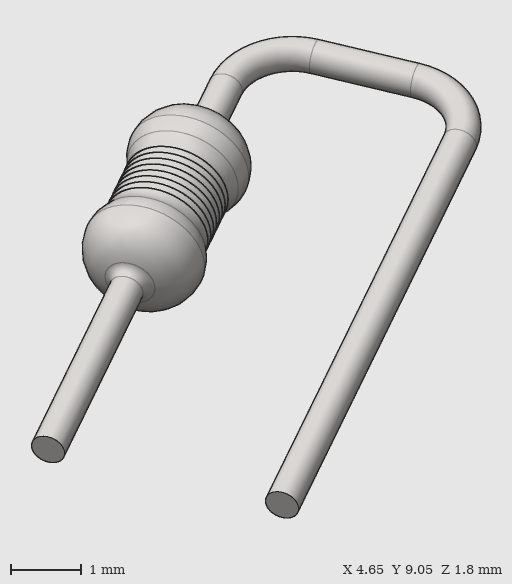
import cadquery as cq
import math

lead_radius = 0.249
lead_pitch = 3.5
bend_radius = 1.0
overall_length = 9.05
bend_start = overall_length - lead_radius - bend_radius
crossbar_y = overall_length - lead_radius

body_center = 5.2
bulb_radius = 0.9005
bulb_offset = 0.97
waist_radius = 0.765

band_radius = 0.774
band_count = 4
band_width = 0.13
band_step = 2 * band_width
bands_half_length = (2 * band_count - 1) * band_width / 2

shoulder_length = bulb_offset - bands_half_length
shoulder_drop = bulb_radius - waist_radius
shoulder_angle = 2 * math.atan(shoulder_drop / shoulder_length)
shoulder_arc = shoulder_length / (2 * math.sin(shoulder_angle))

cap_radius = bulb_radius - lead_radius
neck_fillet = 0.15
neck_end = bulb_offset + math.sqrt((cap_radius + neck_fillet) ** 2 - neck_fillet**2)
neck_angle = math.asin(neck_fillet / (cap_radius + neck_fillet))


def arc_point(center, radius, angle):
    """Point on a circle, with the angle measured from the radial direction toward +Y."""
    return (
        center[0] + radius * math.cos(angle),
        center[1] + radius * math.sin(angle),
    )


def make_lead():
    """Hairpin wire with two quarter-circle bends."""
    bend_mid = bend_radius * (1 - math.sqrt(0.5))
    path = (
        cq.Workplane("XY")
        .lineTo(0, bend_start)
        .threePointArc((bend_mid, crossbar_y - bend_mid), (bend_radius, crossbar_y))
        .lineTo(lead_pitch - bend_radius, crossbar_y)
        .threePointArc((lead_pitch - bend_mid, crossbar_y - bend_mid), (lead_pitch, bend_start))
        .lineTo(lead_pitch, 0)
    )
    return cq.Workplane("XZ").circle(lead_radius).sweep(path)


def make_half_body():
    """Upper half of the body, with its middle at the origin."""
    waist_arc_center = (waist_radius + shoulder_arc, bands_half_length)
    bulb_arc_center = (bulb_radius - shoulder_arc, bulb_offset)
    cap_center = (lead_radius, bulb_offset)
    neck_center = (lead_radius + neck_fillet, neck_end)
    cap_end_angle = math.pi / 2 - neck_angle
    neck_mid_angle = math.pi + cap_end_angle / 2
    return (
        cq.Workplane("XY")
        .lineTo(waist_radius, 0)
        .lineTo(waist_radius, bands_half_length)
        .threePointArc(
            arc_point(waist_arc_center, shoulder_arc, math.pi - shoulder_angle / 2),
            arc_point(waist_arc_center, shoulder_arc, math.pi - shoulder_angle),
        )
        .threePointArc(
            arc_point(bulb_arc_center, shoulder_arc, -shoulder_angle / 2),
            (bulb_radius, bulb_offset),
        )
        .threePointArc(
            arc_point(cap_center, cap_radius, cap_end_angle / 2),
            arc_point(cap_center, cap_radius, cap_end_angle),
        )
        .threePointArc(
            arc_point(neck_center, neck_fillet, neck_mid_angle),
            (lead_radius, neck_end),
        )
        .lineTo(0, neck_end)
        .close()
        .revolve(360, (0, 0), (0, 1))
    )


def make_body():
    """Two mirrored halves with raised colour bands around the waist."""
    half = make_half_body()
    body = half.union(half.mirror("XZ"))
    for index in range(band_count):
        band_start = index * band_step - bands_half_length
        band = (
            cq.Workplane("XZ", origin=(0, band_start, 0))
            .circle(band_radius)
            .extrude(-band_width)
        )
        body = body.union(band)
    return body.translate((0, body_center, 0))


result = make_lead().union(make_body())